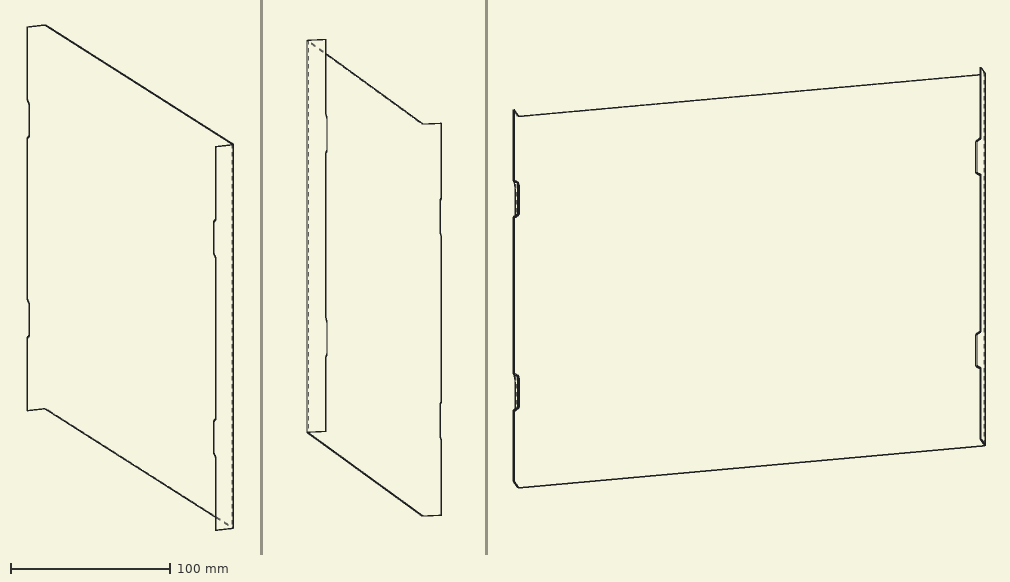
import cadquery as cq
import math

WIDTH = 302.8
DEPTH = 12.5
HEIGHT = 250.0
SHEET = 0.8
BEND_INNER_RADIUS = 1.0
BEND_OUTER_RADIUS = BEND_INNER_RADIUS + SHEET

TAB_SPACING = 130.0
TAB_OFFSET = 2.8
TAB_LENGTH = 26.0
TAB_REACH = 5.3
WALL_LEAN = 32.0
PRESS_INNER_RADIUS = 0.8
PRESS_OUTER_RADIUS = PRESS_INNER_RADIUS + SHEET

FRONT_Y = -DEPTH / 2
OUTER_X = WIDTH / 2
PATCH_MARGIN = 2.0


def folded_panel():
    """Flat back panel with a flange bent forward along each side."""
    blank = cq.Workplane("XY").box(WIDTH, DEPTH, HEIGHT)
    blank = blank.edges("|Z and >Y").fillet(BEND_OUTER_RADIUS)
    cavity = (
        cq.Workplane("XY")
        .box(WIDTH - 2 * SHEET, DEPTH, HEIGHT)
        .edges("|Z and >Y")
        .fillet(BEND_INNER_RADIUS)
        .translate((0, -SHEET, 0))
    )
    return blank.cut(cavity)


def pressed_form(base_x, root_radius, crown_radius, center_z):
    """Block outside base_x with a tapered slot-shaped pressing standing inward from it.

    The pressing is symmetric about the free edge, so only its rear half meets the flange.
    """
    plane = cq.Workplane("YZ", origin=(base_x, FRONT_Y, center_z))
    block = plane.rect(4 * TAB_REACH, 2 * TAB_LENGTH).extrude(2 * SHEET)
    inset = root_radius * math.tan(math.radians(90 - WALL_LEAN) / 2)
    pressing = (
        plane.slot2D(TAB_LENGTH - 2 * inset, 2 * (TAB_REACH - inset), 90)
        .extrude(-TAB_OFFSET, taper=WALL_LEAN)
    )
    root_edges = cq.selectors.BoxSelector(
        (base_x - SHEET / 2, FRONT_Y - TAB_REACH, center_z - TAB_LENGTH / 2),
        (base_x + SHEET / 2, FRONT_Y + TAB_REACH, center_z + TAB_LENGTH / 2),
        boundingbox=True,
    )
    form = block.union(pressing).edges(root_edges).fillet(root_radius)
    return form.faces("<X").edges().fillet(crown_radius)


def tab_patch(center_z):
    """Box around one tab of the +X flange, ending at the free edge."""
    reach = TAB_REACH + PATCH_MARGIN
    return cq.Workplane("XY").box(4 * TAB_OFFSET, reach, TAB_LENGTH + 2 * PATCH_MARGIN).translate(
        (OUTER_X, FRONT_Y + reach / 2, center_z)
    )


def pressed_sheet(center_z):
    """Sheet of even thickness between the inner and outer forms of one tab."""
    inner = pressed_form(OUTER_X - SHEET, PRESS_INNER_RADIUS, PRESS_OUTER_RADIUS, center_z)
    outer = pressed_form(OUTER_X, PRESS_OUTER_RADIUS, PRESS_INNER_RADIUS, center_z)
    return inner.cut(outer)


def both_sides(right_side):
    """A +X feature together with its mirror image on the -X side."""
    return right_side.union(right_side.mirror("YZ"))


panel = folded_panel()
for tab_z in (-TAB_SPACING / 2, TAB_SPACING / 2):
    patch = tab_patch(tab_z)
    panel = panel.cut(both_sides(patch))
    panel = panel.union(both_sides(pressed_sheet(tab_z).intersect(patch)))

result = cq.Workplane("XY").newObject([panel.solids().val()])